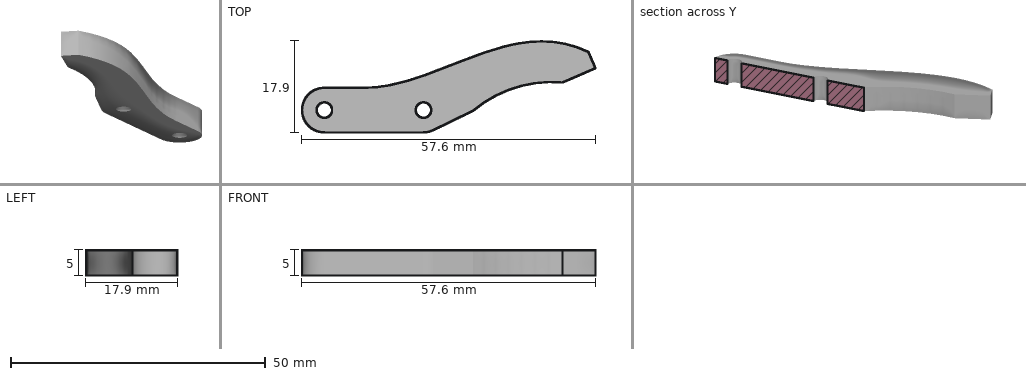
import cadquery as cq
import math

thickness = 5.0
hole_diameter = 3.0
hole_pitch = 19.45
end_radius = 4.4
overall_length = 57.62

ramp_angle = math.radians(26.0)
ramp_end_x = 29.2
hollow_radius = 24.0
hollow_end = (46.75, 5.4)

tip_angle = math.radians(23.5)
tip_face_length = 3.5

back_start_x = 7.9
handle_pull = 14.5
tip_pull = (-15.18, 7.35)


def point_on_circle(center_x, radius, angle):
    """Point on a circle centred on the line of holes."""
    return (center_x + radius * math.cos(angle), radius * math.sin(angle))


def arc_middle(start, end, radius):
    """Middle point of the minor arc bulging to the left of start-to-end."""
    chord_x = end[0] - start[0]
    chord_y = end[1] - start[1]
    chord = math.hypot(chord_x, chord_y)
    rise = radius - math.sqrt(radius**2 - (chord / 2) ** 2)
    return (
        (start[0] + end[0]) / 2 - rise * chord_y / chord,
        (start[1] + end[1]) / 2 + rise * chord_x / chord,
    )


def blade_profile():
    """Closed outline of the blade."""
    ramp_normal = ramp_angle - math.pi / 2
    heel_middle = point_on_circle(hole_pitch, end_radius, (ramp_normal - math.pi / 2) / 2)
    ramp_start = point_on_circle(hole_pitch, end_radius, ramp_normal)
    ramp_rise = (ramp_end_x - ramp_start[0]) * math.tan(ramp_angle)
    ramp_end = (ramp_end_x, ramp_start[1] + ramp_rise)

    tip_x = overall_length - end_radius
    tip_rise = (tip_x - hollow_end[0]) * math.tan(tip_angle)
    tip = (tip_x, hollow_end[1] + tip_rise)
    back_end = (
        tip[0] - tip_face_length * math.sin(tip_angle),
        tip[1] + tip_face_length * math.cos(tip_angle),
    )

    tip_control = (back_end[0] + tip_pull[0], back_end[1] + tip_pull[1])
    back_start = (back_start_x, end_radius)
    handle_control = (back_start_x + handle_pull, end_radius)

    return (
        cq.Workplane("XY")
        .moveTo(0, -end_radius)
        .lineTo(hole_pitch, -end_radius)
        .threePointArc(heel_middle, ramp_start)
        .lineTo(*ramp_end)
        .threePointArc(arc_middle(ramp_end, hollow_end, hollow_radius), hollow_end)
        .lineTo(*tip)
        .lineTo(*back_end)
        .bezier([back_end, tip_control, handle_control, back_start])
        .lineTo(0, end_radius)
        .threePointArc((-end_radius, 0), (0, -end_radius))
        .close()
    )


def pivot_holes():
    """Two cylinders that cut the through holes."""
    return (
        cq.Workplane("XY")
        .pushPoints([(0, 0), (hole_pitch, 0)])
        .circle(hole_diameter / 2)
        .extrude(thickness)
    )


result = blade_profile().extrude(thickness).cut(pivot_holes())